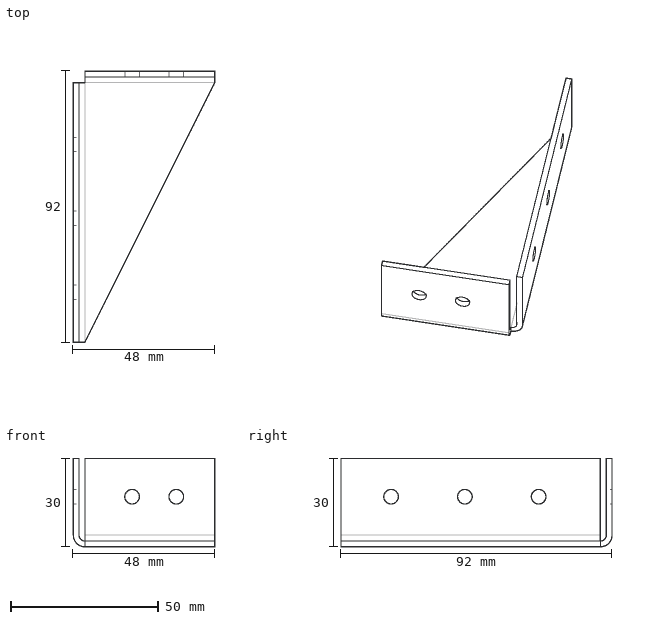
import cadquery as cq

WIDTH = 48.0
LENGTH = 92.0
HEIGHT = 30.0

THICKNESS = 2.0
BEND_RADIUS = 4.0
INNER_RADIUS = BEND_RADIUS - THICKNESS

HOLE_DIAMETER = 4.9
HOLE_HEIGHT = 17.0
SIDE_HOLE_START = 17.0
SIDE_HOLE_PITCH = 25.0
SIDE_HOLE_COUNT = 3
BACK_HOLE_START = 20.0
BACK_HOLE_PITCH = 15.0
BACK_HOLE_COUNT = 2

side_length = LENGTH - BEND_RADIUS
back_length = WIDTH - BEND_RADIUS


def flange(plane, length):
    """Upright flange with its bend; local x runs inward from its outer face, local y is up."""
    diagonal = 0.5 ** 0.5
    outer_mid = BEND_RADIUS - BEND_RADIUS * diagonal
    inner_mid = BEND_RADIUS - INNER_RADIUS * diagonal
    return (
        cq.Workplane(plane)
        .moveTo(BEND_RADIUS, 0)
        .threePointArc((outer_mid, outer_mid), (0, BEND_RADIUS))
        .lineTo(0, HEIGHT)
        .lineTo(THICKNESS, HEIGHT)
        .lineTo(THICKNESS, BEND_RADIUS)
        .threePointArc((inner_mid, inner_mid), (BEND_RADIUS, THICKNESS))
        .close()
        .extrude(length)
    )


def hole_row(plane, start, pitch, count):
    """Cutters through one flange, in a row along local x of its outer face."""
    centers = [(start + i * pitch, HOLE_HEIGHT) for i in range(count)]
    return cq.Workplane(plane).pushPoints(centers).circle(HOLE_DIAMETER / 2).extrude(THICKNESS)


floor = (
    cq.Workplane("XY")
    .moveTo(BEND_RADIUS, 0)
    .lineTo(WIDTH, side_length)
    .lineTo(BEND_RADIUS, side_length)
    .close()
    .extrude(THICKNESS)
)

side_profile = cq.Plane(origin=(0, side_length, 0), xDir=(1, 0, 0), normal=(0, -1, 0))
side_face = cq.Plane(origin=(0, 0, 0), xDir=(0, 1, 0), normal=(1, 0, 0))
side_flange = flange(side_profile, side_length).cut(
    hole_row(side_face, SIDE_HOLE_START, SIDE_HOLE_PITCH, SIDE_HOLE_COUNT)
)

back_profile = cq.Plane(origin=(WIDTH, LENGTH, 0), xDir=(0, -1, 0), normal=(-1, 0, 0))
back_face = cq.Plane(origin=(0, LENGTH, 0), xDir=(1, 0, 0), normal=(0, -1, 0))
back_flange = flange(back_profile, back_length).cut(
    hole_row(back_face, BACK_HOLE_START, BACK_HOLE_PITCH, BACK_HOLE_COUNT)
)

result = floor.union(side_flange).union(back_flange)